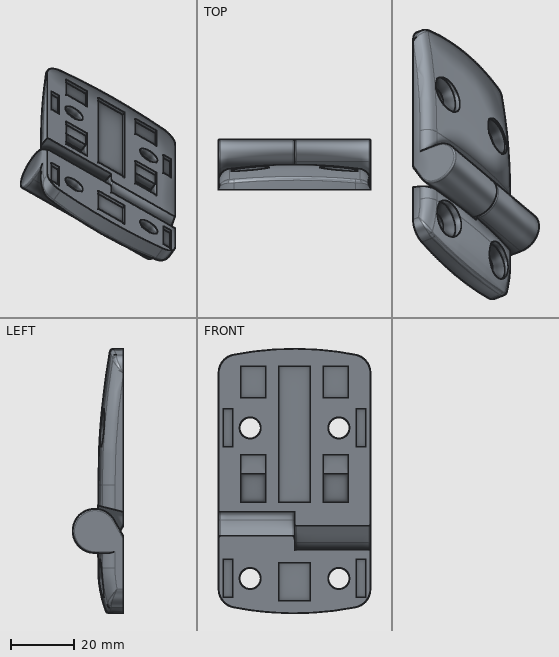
import cadquery as cq
import math


half_width = 24.0
leaf_height = 8.0
plan_end_radius = 100.0
plan_corner_radius = 6.0
crown_radius = 160.0
shoulder_radius = 4.0
end_edge_radius = 1.2

upper_reach = 57.5
upper_drop_start = 14.6
upper_drop_radius = 240.0
lower_reach = 26.0
lower_drop_start = 11.6
lower_drop_radius = 40.0

pivot_y = 9.0
knuckle_radius = 7.0
knuckle_edge_radius = 0.5
relief_angle = 60.0

slot_start = 6.0
slot_rise_per_depth = 0.25

screw_x = 14.0
screw_diameter = 6.6
screw_head_diameter = 12.0
screw_head_angle = 90.0
screw_straight_depth = 2.7
upper_screw_z = 32.5
lower_screw_z = 15.0

pocket_depth = 1.0
deep_pocket_depth = 3.5
channel_width = 9.9
upper_channel_span = (9.0, 52.0)
lower_channel_span = (10.0, 22.0)
window_x = 13.0
window_width = 8.0
far_window_span = (42.0, 52.0)
near_window_span = (9.0, 24.0)
deep_window_span = (9.0, 18.0)
slit_x = 21.0
slit_width = 3.0
slit_length = 12.0
upper_slit_start = 26.5
lower_slit_start = 9.0

through_depth = 2 * pivot_y
below_face = -10.0


def arched_outline(plane, apex, base, arch_radius, corner_radius):
    """Closed wire with straight sides and an arched top, the two joined by tangent corners."""
    corner_x = half_width - corner_radius
    arch_center = apex - arch_radius
    center_gap = arch_radius - corner_radius
    corner_center = arch_center + math.sqrt(center_gap**2 - corner_x**2)
    tangent_scale = arch_radius / center_gap
    tangent_x = corner_x * tangent_scale
    tangent_height = arch_center + (corner_center - arch_center) * tangent_scale
    mid_angle = math.acos(corner_x / center_gap) / 2
    mid_x = corner_x + corner_radius * math.cos(mid_angle)
    mid_height = corner_center + corner_radius * math.sin(mid_angle)
    outline = (
        cq.Workplane(plane)
        .moveTo(-half_width, base)
        .lineTo(half_width, base)
        .lineTo(half_width, corner_center)
        .threePointArc((mid_x, mid_height), (tangent_x, tangent_height))
        .threePointArc((0, apex), (-tangent_x, tangent_height))
        .threePointArc((-mid_x, mid_height), (-half_width, corner_center))
        .close()
    )
    return outline


def leaf_plate(reach, drop_start, drop_radius):
    """Crowned plate: level next to the pivot, then curving down to its rounded far end."""
    level_part = arched_outline(
        "XY", leaf_height, below_face, crown_radius, shoulder_radius
    ).extrude(drop_start)

    drop_angle = math.degrees(math.asin(reach / drop_radius))
    drop_axis_y = leaf_height - drop_radius
    dropping_part = (
        arched_outline("XY", leaf_height, below_face, crown_radius, shoulder_radius)
        .revolve(drop_angle, (0, drop_axis_y), (1, drop_axis_y))
        .translate((0, 0, drop_start))
    )

    plan = arched_outline("XZ", reach, slot_start, plan_end_radius, plan_corner_radius)
    plate = plan.extrude(-through_depth).intersect(level_part.union(dropping_part))
    return plate.edges("%BSPLINE").fillet(end_edge_radius)


def clearance_slot():
    """Wedge on the -X half that makes room for the other leaf's knuckle."""
    return (
        cq.Workplane("YZ")
        .lineTo(0, slot_start)
        .lineTo(through_depth, slot_start + slot_rise_per_depth * through_depth)
        .lineTo(through_depth, 0)
        .close()
        .extrude(-half_width)
    )


def knuckle():
    """Half of the pivot barrel with its flat root, sloped relief and rounded end edges."""
    relief = math.radians(relief_angle)
    relief_foot_z = (pivot_y * math.sin(relief) - knuckle_radius) / math.cos(relief)
    tangent_y = pivot_y - knuckle_radius * math.sin(relief)
    tangent_z = -knuckle_radius * math.cos(relief)
    barrel = (
        cq.Workplane("YZ")
        .moveTo(0, knuckle_radius)
        .lineTo(pivot_y, knuckle_radius)
        .threePointArc((pivot_y + knuckle_radius, 0), (tangent_y, tangent_z))
        .lineTo(0, relief_foot_z)
        .close()
        .extrude(half_width)
    )
    return barrel.faces("<X or >X").edges("not <Y").fillet(knuckle_edge_radius)


def leaf_body(reach, drop_start, drop_radius):
    """Plate and knuckle as one body, without holes or pockets."""
    return leaf_plate(reach, drop_start, drop_radius).cut(clearance_slot()).union(knuckle())


def screw_holes(z):
    """Pair of screw holes whose conical head seats open through the crown."""
    hole_radius = screw_diameter / 2
    head_radius = screw_head_diameter / 2
    cone_depth = (head_radius - hole_radius) / math.tan(math.radians(screw_head_angle / 2))
    hole = (
        cq.Workplane("XY")
        .lineTo(hole_radius, 0)
        .lineTo(hole_radius, screw_straight_depth)
        .lineTo(head_radius, screw_straight_depth + cone_depth)
        .lineTo(head_radius, through_depth)
        .lineTo(0, through_depth)
        .close()
        .revolve(360, (0, 0), (0, 1))
    )
    return hole.translate((-screw_x, 0, z)).union(hole.translate((screw_x, 0, z)))


def pocket(x, width, span, depth):
    """Rectangular pocket sunk into the mounting face."""
    start, end = span
    return (
        cq.Workplane("XY")
        .box(width, depth, end - start, centered=(True, False, False))
        .translate((x, 0, start))
    )


def pocket_pair(x, width, span, depth):
    """Two equal pockets placed symmetrically about the leaf's middle."""
    return pocket(-x, width, span, depth).union(pocket(x, width, span, depth))


def slits(start):
    """Narrow pockets along both long sides."""
    return pocket_pair(slit_x, slit_width, (start, start + slit_length), pocket_depth)


upper_leaf = (
    leaf_body(upper_reach, upper_drop_start, upper_drop_radius)
    .cut(screw_holes(upper_screw_z))
    .cut(slits(upper_slit_start))
    .cut(pocket(0, channel_width, upper_channel_span, pocket_depth))
    .cut(pocket_pair(window_x, window_width, far_window_span, pocket_depth))
    .cut(pocket_pair(window_x, window_width, near_window_span, pocket_depth))
    .cut(pocket_pair(window_x, window_width, deep_window_span, deep_pocket_depth))
)

lower_leaf = (
    leaf_body(lower_reach, lower_drop_start, lower_drop_radius)
    .cut(screw_holes(lower_screw_z))
    .cut(slits(lower_slit_start))
    .cut(pocket(0, channel_width, lower_channel_span, pocket_depth))
    .rotate((0, 0, 0), (0, 1, 0), 180)
)

result = cq.Compound.makeCompound([upper_leaf.solids().val(), lower_leaf.solids().val()])